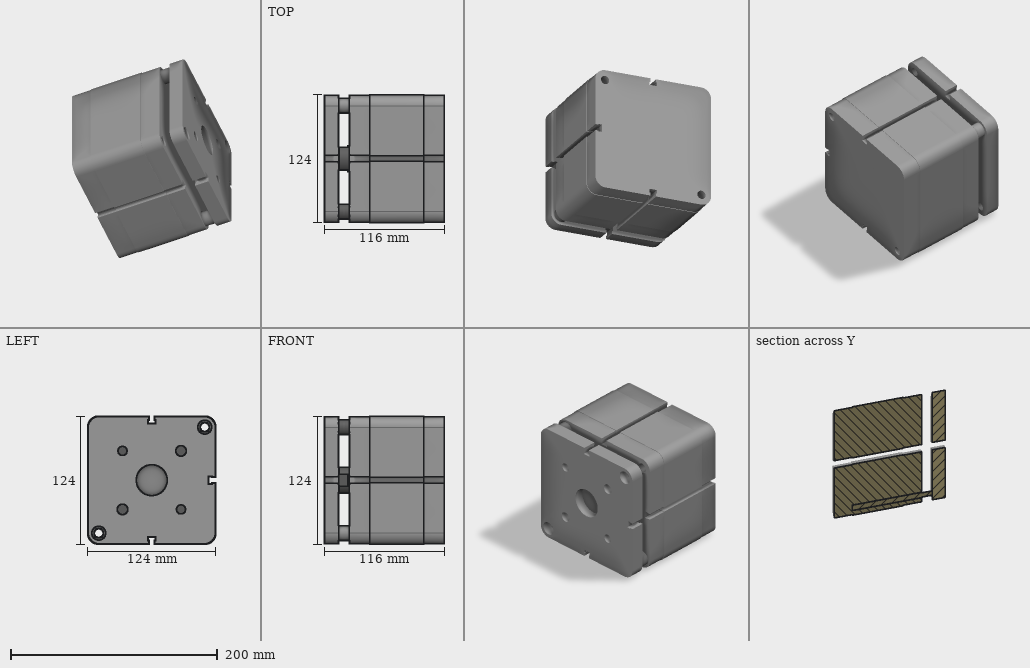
import cadquery as cq


plate_thickness = 13.9
stroke_gap = 10.4
cap_length = 19.6
barrel_length = 52.5
cap_front_x = plate_thickness + stroke_gap
barrel_front_x = cap_front_x + cap_length
barrel_rear_x = barrel_front_x + barrel_length
rod_end_x = barrel_rear_x

barrel_side = 124.0
barrel_corner_radius = 11.0
profile_inset = 0.5
slot_neck_width = 5.2
slot_neck_depth = 4.1
slot_inner_width = 6.6
slot_depth = 7.0
slot_angles = (0, 90, 180)

rod_diameter = 25.0
rod_chamfer = 0.5
rod_across_flats = 22.1
rod_flat_length = 8.9

corner_offset = 51.2
guide_rod_diameter = 14.4
guide_rod_corners = [(corner_offset, corner_offset), (-corner_offset, -corner_offset)]
mounting_corners = [(-corner_offset, corner_offset), (corner_offset, -corner_offset)]
mounting_hole_diameter = 8.5
bore_chamfer = 0.9
screw_head_diameter = 13.4
screw_head_depth = 9.9

recess_diameter = 29.9
recess_depth = 9.5
plate_hole_offset = 28.3
tapped_hole_diameter = 8.8
dowel_hole_diameter = 10.2
tapped_hole_places = [(plate_hole_offset, plate_hole_offset), (-plate_hole_offset, -plate_hole_offset)]
dowel_hole_places = [(-plate_hole_offset, plate_hole_offset), (plate_hole_offset, -plate_hole_offset)]


def cylinders(start_x, length, diameter, places):
    """Cylinders along +X, one at each (y, z) place."""
    return (
        cq.Workplane("YZ", origin=(start_x, 0, 0))
        .pushPoints(places)
        .circle(diameter / 2)
        .extrude(length)
    )


def slot_cutter(start_x, length, inset):
    """T-slot in the -Z side; its walls are set back from those of the barrel slot by inset."""
    neck_half = slot_neck_width / 2 + inset
    inner_half = slot_inner_width / 2 + inset
    mouth_z = -barrel_side / 2
    shoulder_z = mouth_z + slot_neck_depth - inset
    floor_z = mouth_z + slot_depth + inset
    outline = [
        (-neck_half, mouth_z),
        (-neck_half, shoulder_z),
        (-inner_half, shoulder_z),
        (-inner_half, floor_z),
        (inner_half, floor_z),
        (inner_half, shoulder_z),
        (neck_half, shoulder_z),
        (neck_half, mouth_z),
    ]
    return cq.Workplane("YZ", origin=(start_x, 0, 0)).polyline(outline).close().extrude(length)


def slotted_block(start_x, length, inset):
    """Rounded square block with T-slots in three sides, set in from the barrel outline by inset."""
    side = barrel_side - 2 * inset
    block = (
        cq.Workplane("YZ", origin=(start_x, 0, 0))
        .rect(side, side)
        .extrude(length)
        .edges("|X")
        .fillet(barrel_corner_radius - inset)
    )
    slot = slot_cutter(start_x, length, inset)
    for angle in slot_angles:
        block = block.cut(slot.rotate((0, 0, 0), (1, 0, 0), -angle))
    return block


def make_yoke_plate():
    plate = slotted_block(0, plate_thickness, profile_inset)
    plate = plate.cut(cylinders(0, recess_depth, recess_diameter, [(0, 0)]))
    plate = plate.cut(cylinders(0, plate_thickness, mounting_hole_diameter, mounting_corners))
    plate = plate.cut(cylinders(0, screw_head_depth, screw_head_diameter, mounting_corners))
    plate = plate.cut(cylinders(0, plate_thickness, tapped_hole_diameter, tapped_hole_places))
    return plate.cut(cylinders(0, plate_thickness, dowel_hole_diameter, dowel_hole_places))


def chamfered_bores(length, diameter, places):
    """Bore cutters running into the housing from its front face, flared at the mouth by bore_chamfer."""
    mouths = (
        cq.Workplane("YZ", origin=(cap_front_x, 0, 0))
        .pushPoints(places)
        .circle(diameter / 2 + bore_chamfer)
        .extrude(bore_chamfer, taper=45)
    )
    return cylinders(cap_front_x, length, diameter, places).union(mouths)


def make_housing():
    """Barrel between two slightly smaller caps, with bores for the rods and through mounting holes."""
    housing = (
        slotted_block(cap_front_x, cap_length, profile_inset)
        .union(slotted_block(barrel_front_x, barrel_length, 0))
        .union(slotted_block(barrel_rear_x, cap_length, profile_inset))
    )
    housing_length = 2 * cap_length + barrel_length
    bore_depth = rod_end_x - cap_front_x
    housing = housing.cut(chamfered_bores(housing_length, mounting_hole_diameter, mounting_corners))
    housing = housing.cut(cylinders(cap_front_x, bore_depth, rod_diameter, [(0, 0)]))
    return housing.cut(chamfered_bores(bore_depth, guide_rod_diameter, guide_rod_corners))


def make_piston_rod():
    """Round rod, chamfered where it meets the plate, with wrench flats on its -Y and +Y sides."""
    rod = cylinders(plate_thickness, rod_end_x - plate_thickness, rod_diameter, [(0, 0)])
    rod = rod.faces("<X").chamfer(rod_chamfer)
    flat_depth = (rod_diameter - rod_across_flats) / 2
    flat_centre_x = plate_thickness + rod_flat_length / 2
    for side in (-1, 1):
        flat_centre_y = side * (rod_across_flats + flat_depth) / 2
        flat = cq.Workplane("XY", origin=(flat_centre_x, flat_centre_y, 0))
        rod = rod.cut(flat.box(rod_flat_length, flat_depth, rod_diameter))
    return rod


def make_guide_rod(corner):
    return cylinders(plate_thickness, rod_end_x - plate_thickness, guide_rod_diameter, [corner])


yoke_plate = make_yoke_plate()
housing = make_housing()
piston_rod = make_piston_rod()
guide_rods = [make_guide_rod(corner) for corner in guide_rod_corners]

result = cq.Compound.makeCompound(
    [yoke_plate.val(), housing.val(), piston_rod.val(), *[guide_rod.val() for guide_rod in guide_rods]]
)